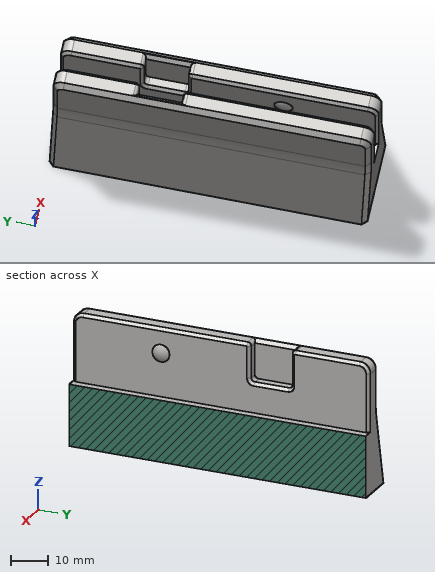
import cadquery as cq

LENGTH = 87.0
BASE_WIDTH = 26.0
HEIGHT = 38.0
TOWER_WIDTH = 16.0
BEND_HEIGHT = 23.0
BEND_RADIUS = 20.0
CORNER_RADIUS = 3.0
OUTER_CHAMFER = 1.4

SLOT_WIDTH = 4.35
SLOT_FLOOR = 18.1
SLOT_CHAMFER = 0.9

POCKET_CENTER_Y = 14.6
POCKET_LENGTH = 12.2
POCKET_WIDTH = 10.8
POCKET_FLOOR = 26.8
POCKET_EDGE = 1.05

BUMP_Y = -17.6
BUMP_Z = 30.7
BUMP_RADIUS = 2.5
BUMP_HEIGHT = 0.8
BUMP_ROOT = 0.9

TOLERANCE = 0.01


def make_body():
    """Flared base blending into an upright tower, with rounded ends and chamfered sides."""
    half_base = BASE_WIDTH / 2
    half_tower = TOWER_WIDTH / 2
    body = (
        cq.Workplane("XZ")
        .polyline([
            (-half_base, 0),
            (half_base, 0),
            (half_tower, BEND_HEIGHT),
            (half_tower, HEIGHT),
            (-half_tower, HEIGHT),
            (-half_tower, BEND_HEIGHT),
        ])
        .close()
        .extrude(LENGTH / 2, both=True)
    )
    bend_edges = [
        edge for edge in body.edges("|Y").vals()
        if abs(edge.Center().z - BEND_HEIGHT) < TOLERANCE
    ]
    body = body.newObject(bend_edges).fillet(BEND_RADIUS)
    body = body.faces(">Z").edges("|X").fillet(CORNER_RADIUS)

    end_edges = body.faces("<Y or >Y").edges("not |X")
    top_edges = body.faces(">Z").edges("|Y")
    return end_edges.add(top_edges).chamfer(OUTER_CHAMFER)


def make_slot():
    return cq.Workplane("XY").box(
        SLOT_WIDTH, LENGTH, HEIGHT - SLOT_FLOOR, centered=(True, True, False)
    ).translate((0, 0, SLOT_FLOOR))


def make_pocket():
    """Pocket with rounded end rims and floor corners, and chamfered side rims."""
    half_length = POCKET_LENGTH / 2
    half_width = POCKET_WIDTH / 2
    lengthwise = (
        cq.Workplane("YZ")
        .moveTo(-half_length - POCKET_EDGE, HEIGHT)
        .radiusArc((-half_length, HEIGHT - POCKET_EDGE), POCKET_EDGE)
        .lineTo(-half_length, POCKET_FLOOR + POCKET_EDGE)
        .radiusArc((-half_length + POCKET_EDGE, POCKET_FLOOR), -POCKET_EDGE)
        .lineTo(half_length - POCKET_EDGE, POCKET_FLOOR)
        .radiusArc((half_length, POCKET_FLOOR + POCKET_EDGE), -POCKET_EDGE)
        .lineTo(half_length, HEIGHT - POCKET_EDGE)
        .radiusArc((half_length + POCKET_EDGE, HEIGHT), POCKET_EDGE)
        .close()
        .extrude(TOWER_WIDTH / 2, both=True)
    )
    crosswise = (
        cq.Workplane("XZ")
        .polyline([
            (-half_width, POCKET_FLOOR),
            (half_width, POCKET_FLOOR),
            (half_width, HEIGHT - POCKET_EDGE),
            (half_width + POCKET_EDGE, HEIGHT),
            (-half_width - POCKET_EDGE, HEIGHT),
            (-half_width, HEIGHT - POCKET_EDGE),
        ])
        .close()
        .extrude(POCKET_LENGTH, both=True)
    )
    return lengthwise.intersect(crosswise).translate((0, POCKET_CENTER_Y, 0))


def chamfer_slot_walls(body):
    """Chamfer every edge of the two slot walls except where they meet the slot floor."""
    wall_edges = [
        edge for edge in body.edges().vals()
        if abs(edge.BoundingBox().xlen) < TOLERANCE
        and abs(abs(edge.Center().x) - SLOT_WIDTH / 2) < TOLERANCE
        and edge.Center().z > SLOT_FLOOR + TOLERANCE
    ]
    return body.newObject(wall_edges).chamfer(SLOT_CHAMFER)


def make_bump(side):
    """Spherical cap on one slot wall, with a cylindrical root buried in the rail."""
    wall_x = SLOT_WIDTH / 2
    dome_radius = (BUMP_RADIUS**2 + BUMP_HEIGHT**2) / (2 * BUMP_HEIGHT)
    bump = (
        cq.Workplane("XY")
        .moveTo(wall_x - BUMP_HEIGHT, 0)
        .radiusArc((wall_x, BUMP_RADIUS), dome_radius)
        .lineTo(wall_x + BUMP_ROOT, BUMP_RADIUS)
        .lineTo(wall_x + BUMP_ROOT, 0)
        .close()
        .revolve(360, (0, 0, 0), (1, 0, 0))
    )
    if side < 0:
        bump = bump.mirror("YZ")
    return bump.translate((0, BUMP_Y, BUMP_Z))


result = make_body().cut(make_slot()).cut(make_pocket())
result = chamfer_slot_walls(result)
for side in (-1, 1):
    result = result.union(make_bump(side))